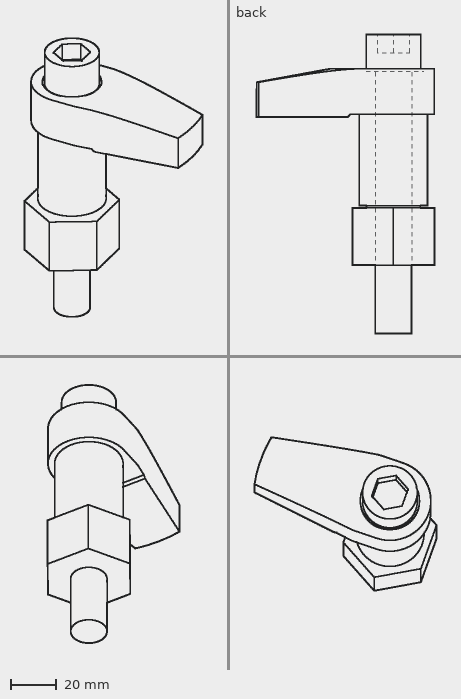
import cadquery as cq
import math

total_height = 131.0
shank_projection = 30.0
nut_height = 25.0
neck_height = 1.0
sleeve_height = 40.0
hub_height = 20.0
nut_top = shank_projection + nut_height
sleeve_bottom = nut_top + neck_height
hub_bottom = sleeve_bottom + sleeve_height
hub_top = hub_bottom + hub_height

head_diameter = 24.0
shank_diameter = 16.0
socket_across_flats = 14.0
socket_depth = 8.0

nut_across_flats = 36.0
neck_diameter = 23.7

sleeve_diameter = 30.0
hub_radius = 18.0
hub_flat_length = 10.0
taper_angle = math.radians(8)
tip_radius = 60.0
tip_drop = 5.9
grip_drop = 1.2
grip_start = 20.0
recess_diameter = 26.0
recess_depth = 1.0
head_bottom = hub_top - recess_depth


def cylinder(diameter, bottom, top):
    return cq.Workplane("XY").workplane(offset=bottom).circle(diameter / 2).extrude(top - bottom)


def hexagon(across_flats, bottom, top):
    """Hexagonal prism with two of its corners on the Y axis."""
    across_corners = across_flats / math.cos(math.radians(30))
    prism = cq.Workplane("XY").workplane(offset=bottom).polygon(6, across_corners).extrude(top - bottom)
    return prism.rotate((0, 0, 0), (0, 0, 1), 30)


def make_screw():
    head = cylinder(head_diameter, head_bottom, total_height)
    shank = cylinder(shank_diameter, 0, head_bottom)
    socket = hexagon(socket_across_flats, total_height - socket_depth, total_height)
    return head.union(shank).cut(socket)


def make_nut():
    body = hexagon(nut_across_flats, shank_projection, nut_top)
    neck = cylinder(neck_diameter, nut_top, sleeve_bottom)
    bore = cylinder(shank_diameter, shank_projection, sleeve_bottom)
    return body.union(neck).cut(bore)


def arm_plan():
    """Plan of hub and handle, extruded from the grip's underside to the hub top."""
    tangent_x = hub_flat_length + hub_radius * math.sin(taper_angle)
    tangent_y = hub_radius * math.cos(taper_angle)
    mid_x = hub_flat_length + hub_radius * math.sin(taper_angle / 2)
    mid_y = hub_radius * math.cos(taper_angle / 2)

    flank_distance = hub_radius + hub_flat_length * math.sin(taper_angle)
    tip_angle = math.asin(flank_distance / tip_radius) - taper_angle
    tip_x = tip_radius * math.cos(tip_angle)
    tip_y = tip_radius * math.sin(tip_angle)

    return (
        cq.Workplane("XY")
        .workplane(offset=hub_bottom - grip_drop)
        .moveTo(0, hub_radius)
        .threePointArc((-hub_radius, 0), (0, -hub_radius))
        .lineTo(hub_flat_length, -hub_radius)
        .threePointArc((mid_x, -mid_y), (tangent_x, -tangent_y))
        .lineTo(tip_x, -tip_y)
        .threePointArc((tip_radius, 0), (tip_x, tip_y))
        .lineTo(tangent_x, tangent_y)
        .threePointArc((mid_x, mid_y), (hub_flat_length, hub_radius))
        .close()
        .extrude(hub_height + grip_drop)
    )


def hub_underside_cut():
    """Clears the space under the hub, ending in a 45 degree step down to the grip."""
    grip_bottom = hub_bottom - grip_drop
    return (
        cq.Workplane("XZ")
        .moveTo(-2 * hub_radius, hub_bottom)
        .lineTo(grip_start - grip_drop, hub_bottom)
        .lineTo(grip_start, grip_bottom)
        .lineTo(-2 * hub_radius, grip_bottom)
        .close()
        .extrude(2 * hub_radius, both=True)
    )


def top_cone_cut():
    """Removes what lies above a cone that falls away outside the hub's far arc."""
    slope = tip_drop / (tip_radius - hub_flat_length - hub_radius)
    drop_at_edge = slope * (tip_radius - hub_radius)
    return (
        cq.Workplane("XZ")
        .moveTo(hub_radius, hub_top)
        .lineTo(tip_radius, hub_top - drop_at_edge)
        .lineTo(tip_radius, hub_top)
        .close()
        .revolve(360, (0, 0), (0, 1))
        .translate((hub_flat_length, 0, 0))
        .intersect(cq.Workplane("XY").box(
            2 * tip_radius, 2 * tip_radius, 2 * total_height, centered=(False, True, True)
        ).translate((hub_flat_length, 0, 0)))
    )


def make_lever():
    arm = arm_plan().cut(hub_underside_cut()).cut(top_cone_cut())
    sleeve = cylinder(sleeve_diameter, sleeve_bottom, hub_bottom)
    bore = cylinder(shank_diameter, sleeve_bottom, head_bottom)
    recess = cylinder(recess_diameter, head_bottom, hub_top)
    return arm.union(sleeve).cut(bore).cut(recess)


screw = make_screw()
nut = make_nut()
lever = make_lever()

result = cq.Compound.makeCompound([screw.solids().val(), nut.solids().val(), lever.solids().val()])